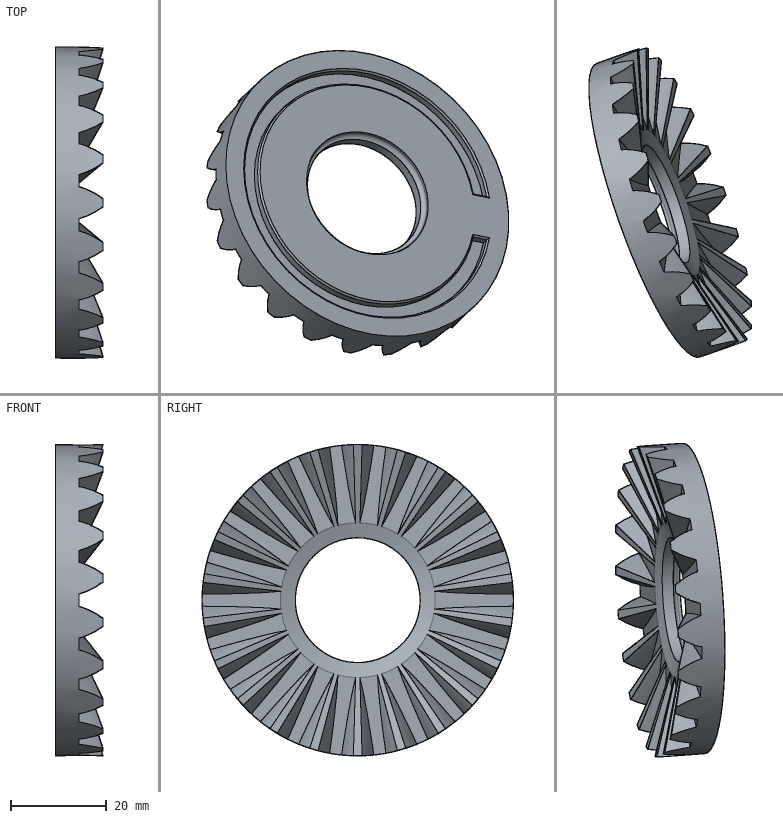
import cadquery as cq
import math

rim_radius = 32.5
total_depth = 9.95
bore_radius = 13.0
bore_depth = total_depth * bore_radius / rim_radius

recess_radius = 14.0
recess_depth = 1.6
recess_fillet = recess_radius - bore_radius

groove_outer_radius = 28.0
groove_inner_radius = 25.0
groove_depth = 2.0
groove_chamfer = 0.4
bridge_half_width = 5.0

tooth_count = 22
root_height = 4.95
tooth_root_half_width = 3.4
tooth_middle_half_width = 2.4
tooth_tip_half_width = 0.9
middle_height = (root_height + total_depth) / 2
pitch_angle = 360.0 / tooth_count

cutter_outer_scale = 1.1
cutter_inner_scale = 0.3
cutter_top_height = 1.3 * total_depth


def make_blank():
    """Revolved body with the bore and the round-cornered recess."""
    half_section = (
        cq.Workplane("XY")
        .moveTo(recess_depth, bore_radius)
        .lineTo(bore_depth, bore_radius)
        .lineTo(total_depth, rim_radius)
        .lineTo(0, rim_radius)
        .lineTo(0, recess_radius)
        .lineTo(recess_depth - recess_fillet, recess_radius)
        .radiusArc((recess_depth, bore_radius), recess_fillet)
        .close()
    )
    return half_section.revolve(360, (0, 0, 0), (1, 0, 0))


def groove_outline(offset):
    """C-shaped groove outline on the back face, grown by offset."""
    outer = groove_outer_radius + offset
    inner = groove_inner_radius - offset
    end_z = bridge_half_width - offset
    outer_y = -math.sqrt(outer**2 - end_z**2)
    inner_y = -math.sqrt(inner**2 - end_z**2)
    return (
        cq.Workplane("YZ")
        .moveTo(outer_y, end_z)
        .threePointArc((outer, 0), (outer_y, -end_z))
        .lineTo(inner_y, -end_z)
        .threePointArc((inner, 0), (inner_y, end_z))
        .close()
    )


def make_groove():
    """Straight-walled groove with a 45 degree chamfer around its mouth."""
    mouth = groove_outline(groove_chamfer).extrude(groove_chamfer, taper=45)
    return groove_outline(0).extrude(groove_depth).union(mouth)


def space_half_width(tooth_half_width):
    """Half width of the space between teeth of given half width, on a plane touching the rim."""
    tooth_half_angle = math.asin(tooth_half_width / rim_radius)
    return rim_radius * math.tan(math.radians(pitch_angle / 2) - tooth_half_angle)


def make_space_cutter():
    """Tooth space on the -Y side: curved flanks run to the cone apex, above a flat root."""
    root = space_half_width(tooth_root_half_width)
    middle = space_half_width(tooth_middle_half_width)
    tip = space_half_width(tooth_tip_half_width)

    def section(scale):
        """Outline of the space, scaled about the cone apex."""
        def at(height, side):
            return cq.Vector(height, -rim_radius, side) * scale

        def flank(side):
            return cq.Edge.makeThreePointArc(
                at(root_height, side * root), at(middle_height, side * middle), at(total_depth, side * tip)
            )

        floor = cq.Edge.makeLine(at(root_height, -root), at(root_height, root))
        mouth = cq.Wire.makePolygon([
            at(total_depth, tip),
            at(cutter_top_height, tip),
            at(cutter_top_height, -tip),
            at(total_depth, -tip),
        ])
        return cq.Wire.assembleEdges([floor, flank(1), *mouth.Edges(), flank(-1)])

    taper = cq.Solid.makeLoft([section(cutter_outer_scale), section(cutter_inner_scale)], True)
    below_root = cq.Workplane("YZ").circle(2 * rim_radius).extrude(root_height)
    return cq.Workplane(taper).cut(below_root)


result = make_blank().cut(make_groove())
space_cutter = make_space_cutter()
for index in range(tooth_count):
    result = result.cut(space_cutter.rotate((0, 0, 0), (1, 0, 0), index * pitch_angle))